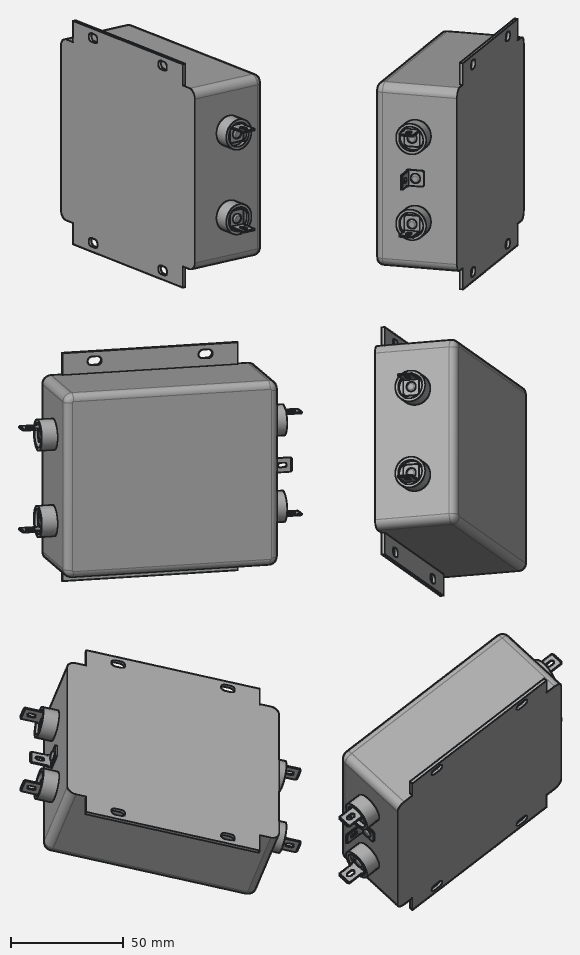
import cadquery as cq

total_width = 128.9
depth = 38.2
total_height = 104.0

case_width = 98.5
case_height = 84.3
corner_radius = 4.0
back_radius = 3.4
flange_width = 80.7
flange_thickness = 1.5
mount_slot_length = 6.5
mount_slot_width = 4.0
mount_slot_pitch_x = 51.0
mount_slot_pitch_z = 95.4

bushing_diameter = 14.0
bushing_height = 7.2
bushing_pitch = 39.5
bore_diameter = 11.2
ledge_depth = 1.4

tab_thickness = 0.8
terminal_length = 10.3
base_length = 7.9
base_width = 7.3
base_corner_radius = 1.2
shoulder_height = 2.2
blade_width = 6.6
blade_tip_chamfer = 0.6
blade_tip_bevel = 0.3
blade_slot_length = 4.0
blade_slot_width = 2.0
blade_slot_from_tip = 4.5
rivet_diameter = 4.4
rivet_height = 0.9
rivet_edge_radius = 0.8

wall_x = case_width / 2
bushing_z = bushing_pitch / 2
terminal_seat_x = total_width / 2 - terminal_length
seat_depth = wall_x + bushing_height - terminal_seat_x


def make_housing():
    """Closed box with a rounded back and a slotted flange above and below its mounting face."""
    case = (
        cq.Workplane("XY")
        .box(case_width, depth, case_height)
        .edges("|Y")
        .fillet(corner_radius)
        .faces(">Y")
        .edges()
        .fillet(back_radius)
    )
    flange = (
        cq.Workplane("XY")
        .box(flange_width, flange_thickness, total_height)
        .translate((0, (flange_thickness - depth) / 2, 0))
    )
    mount_slots = (
        cq.Workplane("XZ", origin=(0, -depth / 2, 0))
        .rarray(mount_slot_pitch_x, mount_slot_pitch_z, 2, 2)
        .slot2D(mount_slot_length, mount_slot_width)
        .extrude(-flange_thickness)
    )
    return case.union(flange.cut(mount_slots))


def make_bushing():
    """Round bushing standing on x = 0 along +X, with a stepped recess for the terminal base."""
    body = cq.Workplane("YZ").circle(bushing_diameter / 2).extrude(bushing_height)
    rim = cq.Workplane("YZ", origin=(bushing_height, 0, 0))
    bore = rim.circle(bore_diameter / 2).extrude(-ledge_depth)
    seat = (
        rim.rect(base_width, bushing_diameter)
        .extrude(-seat_depth)
        .intersect(rim.circle(bore_diameter / 2).extrude(-seat_depth))
    )
    return body.cut(bore).cut(seat)


def make_terminal():
    """L-shaped tab: base on x = 0, blade pointing along +X from the +Z end of the base."""
    blade_top = base_length / 2
    blade_center = blade_top - tab_thickness / 2
    base = (
        cq.Workplane("YZ")
        .rect(base_width, base_length)
        .extrude(tab_thickness)
        .edges("|X and <Z")
        .fillet(base_corner_radius)
    )
    shoulder = (
        cq.Workplane("XY")
        .box(shoulder_height, base_width, tab_thickness, centered=(False, True, True))
        .translate((0, 0, blade_center))
    )
    blade = (
        cq.Workplane("XY")
        .box(terminal_length, blade_width, tab_thickness, centered=(False, True, True))
        .edges("|Z and >X")
        .chamfer(blade_tip_chamfer)
        .faces(">X")
        .edges("|Y")
        .chamfer(blade_tip_bevel, blade_tip_chamfer)
        .translate((0, 0, blade_center))
    )
    blade_slot = (
        cq.Workplane("XY", origin=(terminal_length - blade_slot_from_tip, 0, blade_top))
        .slot2D(blade_slot_length, blade_slot_width)
        .extrude(-tab_thickness)
    )
    rivet = (
        cq.Workplane("YZ", origin=(tab_thickness, 0, 0))
        .circle(rivet_diameter / 2)
        .extrude(rivet_height)
        .faces(">X")
        .edges()
        .fillet(rivet_edge_radius)
    )
    return base.union(shoulder).union(blade).cut(blade_slot).union(rivet)


def place(body, side, seat_x, z=0.0, roll=0.0):
    """Put a body on the +X (side 1) or -X (side -1) wall, turned about the X axis by roll degrees."""
    if side < 0:
        body = body.rotate((0, 0, 0), (0, 0, 1), 180)
    return body.rotate((0, 0, 0), (1, 0, 0), roll).translate((side * seat_x, 0, z))


housing = make_housing()

bushings = []
line_terminals = []
for side in (-1, 1):
    for z, roll in ((bushing_z, 0), (-bushing_z, 180)):
        bushings.append(place(make_bushing(), side, wall_x, z))
        line_terminals.append(place(make_terminal(), side, terminal_seat_x, z, roll))

ground_terminal = place(make_terminal(), -1, wall_x, roll=-90)

result = cq.Compound.makeCompound(
    [
        housing.val(),
        *[bushing.val() for bushing in bushings],
        *[terminal.val() for terminal in line_terminals],
        ground_terminal.val(),
    ]
)